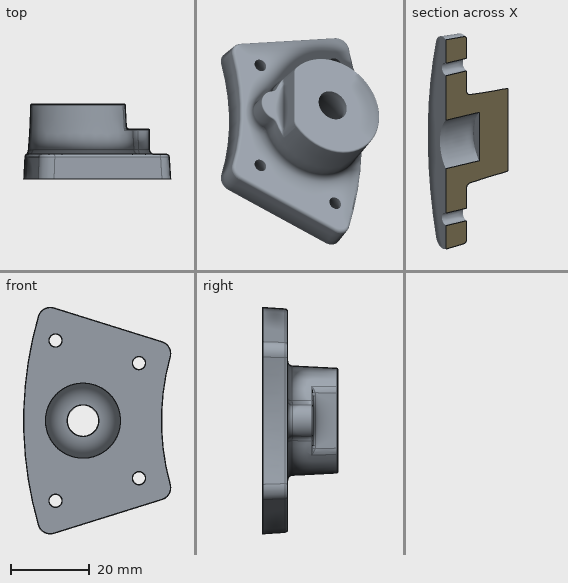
import cadquery as cq
import math

plate_thickness = 6.35
draft_angle = 3.0
outer_arc_radius = 95.25
outer_arc_x = -15.08
inner_arc_x = 19.94
side_slope = -0.3125
side_height = 26.29
corner_radius = 3.175
plate_rim_fillet = 0.79

total_height = 19.05
boss_base_radius = 13.95
boss_rim_fillet = 0.4
base_fillet = 1.19

side_boss_x = 12.7
side_boss_radius = 4.17
side_boss_top = 12.7
side_boss_rim_fillet = 0.3
side_boss_blend_radius = 2.0
flat_x = 11.05
flat_floor_fillet = 0.75
flat_edge_fillet = 2.5

bore_radius = 9.525
bore_depth = 10.16
through_hole_radius = 3.97
screw_hole_radius = 1.63
screw_hole_places = [(-6.97, 20.33), (14.2, 14.6)]

draft = math.tan(math.radians(draft_angle))
arc_center_x = outer_arc_x + outer_arc_radius
inner_arc_radius = arc_center_x - inner_arc_x
selection_margin = 0.01


def plane_at(y):
    """XZ plane at the given Y, with its normal along +Y and its local X along -X."""
    return cq.Workplane("XZ", origin=(0, y, 0)).transformed(rotate=(0, 180, 0))


def cylinder(x, z, radius, bottom, top):
    """Cylinder along Y through (x, z), between two heights."""
    return plane_at(bottom).center(-x, z).circle(radius).extrude(top - bottom)


def edges_near_plane(solid, y, x_range):
    """Edges of the solid centred in the plane at height y, with centres in the X range."""
    x_min, x_max = x_range
    box = cq.selectors.BoxSelector(
        (x_min, y - selection_margin, -boss_base_radius),
        (x_max, y + selection_margin, boss_base_radius),
    )
    return solid.edges(box)


def edges_between_heights(solid, bottom, top, x_min):
    """Upright edges of the bosses: centred between two heights, beyond x_min."""
    box = cq.selectors.BoxSelector(
        (x_min, bottom + selection_margin, -boss_base_radius),
        (side_boss_x + side_boss_radius, top - selection_margin, boss_base_radius),
    )
    return solid.edges(box)


def side_corner(radius):
    """Point where the upper sloping side meets the arc of this radius."""
    a = 1 + side_slope**2
    b = side_slope * side_height - arc_center_x
    c = arc_center_x**2 + side_height**2 - radius**2
    x = (-b - math.sqrt(b**2 - a * c)) / a
    return x, side_height + side_slope * x


def make_plate():
    """Drafted plate between two concentric arcs, with rounded corners and upper rim."""
    outer_x, outer_z = side_corner(outer_arc_radius)
    inner_x, inner_z = side_corner(inner_arc_radius)
    plate = (
        cq.Workplane("XZ")
        .moveTo(outer_x, outer_z)
        .lineTo(inner_x, inner_z)
        .threePointArc((inner_arc_x, 0), (inner_x, -inner_z))
        .lineTo(outer_x, -outer_z)
        .threePointArc((outer_arc_x, 0), (outer_x, outer_z))
        .close()
        .extrude(-plate_thickness, taper=draft_angle)
    )
    corner_edges = plate.edges("not (<Y or >Y)")
    return corner_edges.fillet(corner_radius).faces(">Y").edges().fillet(plate_rim_fillet)


def make_boss_cone(top):
    """Drafted main boss from the plate up to the given height."""
    top_radius = boss_base_radius - draft * (top - plate_thickness)
    profile = [(0, plate_thickness), (boss_base_radius, plate_thickness), (top_radius, top), (0, top)]
    return cq.Workplane("XY").polyline(profile).close().revolve(360, (0, 0, 0), (0, 1, 0))


def make_lower_bosses():
    """Main boss up to the side boss height, blended with the side boss."""
    side_boss = cylinder(side_boss_x, 0, side_boss_radius, plate_thickness, side_boss_top)
    bosses = make_boss_cone(side_boss_top).union(side_boss)
    valleys = edges_between_heights(bosses, plate_thickness, side_boss_top, flat_x)
    return valleys.fillet(side_boss_blend_radius).faces(">Y").edges().fillet(side_boss_rim_fillet)


def make_upper_boss():
    """Full-height main boss with a drafted flat facing the side boss."""
    reach = 2 * boss_base_radius
    flat_base_x = flat_x + draft * (side_boss_top - plate_thickness)
    flat_top_x = flat_x - draft * (total_height - side_boss_top)
    profile = [
        (flat_base_x, plate_thickness),
        (reach, plate_thickness),
        (reach, total_height),
        (flat_top_x, total_height),
    ]
    beyond_flat = cq.Workplane("XY").polyline(profile).close().extrude(reach, both=True)
    boss = make_boss_cone(total_height).cut(beyond_flat)
    flat_edges = edges_between_heights(boss, plate_thickness, total_height, flat_top_x)
    return flat_edges.fillet(flat_edge_fillet).faces(">Y").edges().fillet(boss_rim_fillet)


def make_bosses():
    """Both bosses, with a fillet where the flat rises from the top of the side boss."""
    bosses = make_lower_bosses().union(make_upper_boss())
    floor_range = (flat_x - flat_floor_fillet, flat_x + selection_margin)
    return edges_near_plane(bosses, side_boss_top, floor_range).fillet(flat_floor_fillet)


def make_body():
    """Plate and bosses, with the fillet around the foot of the bosses."""
    body = make_plate().union(make_bosses())
    foot_range = (-boss_base_radius, side_boss_x + side_boss_radius)
    return edges_near_plane(body, plate_thickness, foot_range).fillet(base_fillet)


def cut_holes(body):
    """Bore from the mounting face, smaller through hole on its axis, four screw holes."""
    body = body.cut(cylinder(0, 0, bore_radius, 0, bore_depth))
    body = body.cut(cylinder(0, 0, through_hole_radius, 0, total_height))
    for x, z in screw_hole_places:
        for side in (1, -1):
            body = body.cut(cylinder(x, side * z, screw_hole_radius, 0, plate_thickness))
    return body


result = cut_holes(make_body())